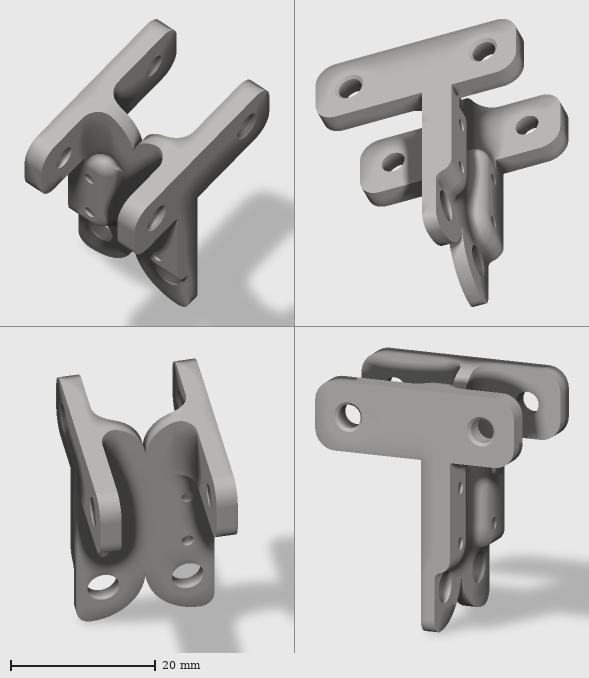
import cadquery as cq
import math


total_width = 19.5
total_height = 35.0
arm_length = 30.0
bracket_width = total_width / 2

arm_thickness = 3.0
arm_height = 10.0
arm_corner_radius = 3.0
arm_bottom = total_height - arm_height
arm_hole_diameter = 3.4
arm_hole_chamfer = 0.42
arm_hole_spacing = 20.0

web_back = -0.95
web_thickness = 2.05
web_front = web_back - web_thickness
web_top_radius = 6.0
web_outer_corner_radius = 2.0
web_inner_corner_radius = bracket_width - web_outer_corner_radius
arm_fillet_radius = 2.95

hole_column = bracket_width - web_top_radius
large_hole_diameter = 4.5
large_hole_height = 6.0
small_hole_diameter = 1.8
small_hole_height = 12.5
small_hole_spacing = 8.0

pad_depth = 2.3
pad_front = web_front - pad_depth
pad_width = 7.35
pad_edge_radius = 2.0
pad_top_corner_radius = pad_edge_radius
pad_bottom_corner_radius = pad_width - hole_column
pad_bottom = small_hole_height - pad_bottom_corner_radius
pad_shoulder = arm_bottom - pad_edge_radius

cove_radius = 1.0
cove_rise = cove_radius - (pad_depth - pad_edge_radius)
cove_span = math.sqrt((pad_edge_radius + cove_radius) ** 2 - cove_rise**2)
cove_reach = cove_span - pad_edge_radius
cove_height = cove_radius - cove_rise * cove_radius / (pad_edge_radius + cove_radius)

seam_radius = cove_span * pad_edge_radius / (pad_edge_radius + cove_radius)
cove_end_angle = math.acos(seam_radius / cove_span)


def front_plane(y):
    """Sketch plane facing -Y at depth y, with local x = X and local y = Z."""
    return cq.Workplane("XZ", origin=(0, y, 0))


def block(x_range, y_range, z_range):
    """Box given by its limits on each axis."""
    sizes = [high - low for low, high in (x_range, y_range, z_range)]
    corner = (x_range[0], y_range[0], z_range[0])
    return cq.Workplane("XY").box(*sizes, centered=False).translate(corner)


def make_arm():
    """Rounded bar with two holes, chamfered on the outer side."""
    arm = block((0, arm_thickness), (-arm_length / 2, arm_length / 2), (arm_bottom, total_height))
    arm = arm.edges("|X").fillet(arm_corner_radius)
    hole_z = total_height - arm_height / 2
    for hole_y in (-arm_hole_spacing / 2, arm_hole_spacing / 2):
        hole = (
            cq.Workplane("YZ", origin=(0, hole_y, hole_z))
            .circle(arm_hole_diameter / 2)
            .extrude(arm_thickness)
        )
        countersink = cq.Workplane(
            cq.Solid.makeCone(
                arm_hole_diameter / 2 + arm_hole_chamfer,
                arm_hole_diameter / 2,
                arm_hole_chamfer,
                cq.Vector(0, hole_y, hole_z),
                cq.Vector(1, 0, 0),
            )
        )
        arm = arm.cut(hole).cut(countersink)
    return arm


def web_outline(y, depth):
    """The rounded web shape, extruded from y towards the front by depth."""
    inner_middle = web_inner_corner_radius * math.sqrt(0.5)
    outer_inset = web_outer_corner_radius * (1 - math.sqrt(0.5))
    top_middle = web_top_radius * math.sqrt(0.5)
    top_center_z = total_height - web_top_radius
    return (
        front_plane(y)
        .moveTo(0, total_height)
        .lineTo(0, web_outer_corner_radius)
        .threePointArc((outer_inset, outer_inset), (web_outer_corner_radius, 0))
        .threePointArc(
            (web_outer_corner_radius + inner_middle, web_inner_corner_radius - inner_middle),
            (bracket_width, web_inner_corner_radius),
        )
        .lineTo(bracket_width, top_center_z)
        .threePointArc(
            (hole_column + top_middle, top_center_z + top_middle),
            (hole_column, total_height),
        )
        .close()
        .extrude(depth)
    )


def arm_fillet(wall_y, direction, bottom):
    """Concave corner strip between the arm and the web face at wall_y."""
    arc_offset = arm_fillet_radius * (1 - math.sqrt(0.5))
    strip = (
        cq.Workplane("XY", origin=(0, 0, bottom))
        .moveTo(arm_thickness, wall_y)
        .lineTo(arm_thickness + arm_fillet_radius, wall_y)
        .threePointArc(
            (arm_thickness + arc_offset, wall_y + direction * arc_offset),
            (arm_thickness, wall_y + direction * arm_fillet_radius),
        )
        .close()
        .extrude(total_height - bottom)
    )
    return strip.intersect(web_outline(arm_length / 2, arm_length))


def make_pad():
    """Raised pad with rounded front edges and a cove around its foot."""
    pad = (
        front_plane(web_front)
        .moveTo(0, pad_bottom)
        .lineTo(pad_width, pad_bottom)
        .lineTo(pad_width, arm_bottom)
        .lineTo(0, arm_bottom)
        .close()
        .extrude(pad_depth)
    )
    pad = pad.edges("|Y and >X and >Z").fillet(pad_top_corner_radius)
    pad = pad.edges("|Y and >X and <Z").fillet(pad_bottom_corner_radius)
    pad = pad.faces("<Y").edges("not <X").fillet(pad_edge_radius)
    shoulder = block((0, arm_thickness), (pad_front, web_front), (pad_shoulder, arm_bottom))
    return pad.union(shoulder).union(make_cove())


def make_cove():
    """Skirt around the pad foot, hollowed by a round sweep along its edge."""
    skirt_x = pad_width + cove_reach
    skirt_bottom = pad_bottom - cove_reach
    skirt_corner = pad_bottom_corner_radius + cove_reach
    top_corner_x = pad_width - pad_top_corner_radius
    end_x = top_corner_x + seam_radius * math.cos(cove_end_angle)
    end_z = pad_shoulder + seam_radius * math.sin(cove_end_angle)
    skirt = (
        front_plane(web_front)
        .moveTo(0, skirt_bottom)
        .lineTo(skirt_x, skirt_bottom)
        .lineTo(skirt_x, pad_shoulder)
        .lineTo(end_x, end_z)
        .lineTo(top_corner_x, pad_shoulder)
        .lineTo(0, pad_shoulder)
        .close()
        .extrude(cove_height)
        .edges("|Y and >X and <Z")
        .fillet(skirt_corner)
    )
    arc_middle = skirt_corner * math.sqrt(0.5)
    path = (
        front_plane(web_front - cove_radius)
        .moveTo(skirt_x, arm_bottom)
        .lineTo(skirt_x, small_hole_height)
        .threePointArc(
            (hole_column + arc_middle, small_hole_height - arc_middle),
            (hole_column, skirt_bottom),
        )
        .lineTo(0, skirt_bottom)
    )
    hollow = (
        cq.Workplane("XY", origin=(skirt_x, web_front - cove_radius, arm_bottom))
        .circle(cove_radius)
        .sweep(path)
    )
    return skirt.cut(hollow)


def web_holes():
    """Through holes of the web and pad, all on one vertical line."""
    depth = web_back - pad_front
    small_heights = (small_hole_height, small_hole_height + small_hole_spacing)
    holes = front_plane(web_back).pushPoints([(hole_column, z) for z in small_heights])
    holes = holes.circle(small_hole_diameter / 2).extrude(depth)
    large_hole = (
        front_plane(web_back)
        .center(hole_column, large_hole_height)
        .circle(large_hole_diameter / 2)
        .extrude(depth)
    )
    return holes.union(large_hole)


def make_bracket():
    """One complete bracket, on the -X side of the pair."""
    front_fillet = arm_fillet(web_front, -1, pad_shoulder)
    overhang = block((0, bracket_width), (-arm_length, pad_front), (0, arm_bottom))
    bracket = (
        make_arm()
        .union(web_outline(web_back, web_thickness))
        .union(arm_fillet(web_back, 1, arm_bottom))
        .union(front_fillet.cut(overhang))
        .union(make_pad())
        .cut(web_holes())
    )
    return bracket.translate((-bracket_width, 0, 0)).solids()


left_bracket = make_bracket()
right_bracket = left_bracket.mirror("YZ").solids()

result = cq.Compound.makeCompound([left_bracket.val(), right_bracket.val()])